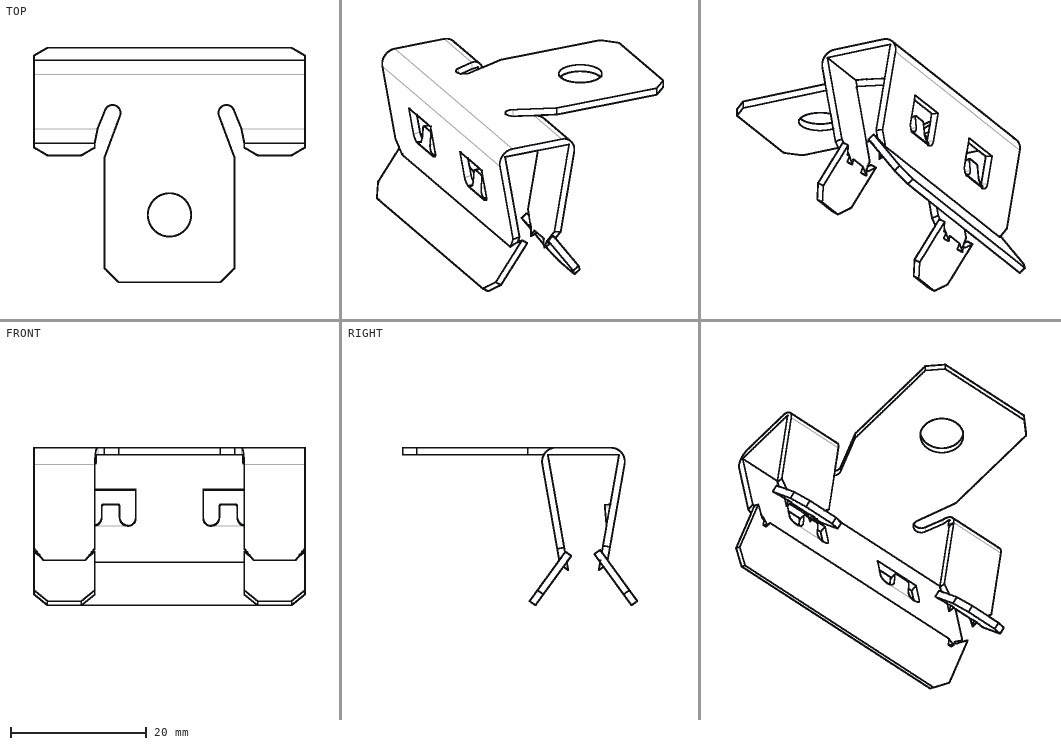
import cadquery as cq
import math


sheet = 1.1
length = 40.0
depth = 34.65
height = 23.3
half_length = length / 2

feet_half_depth = 7.95
leg_angle = math.radians(10)
foot_angle = math.radians(36)
leg_reach = 16.1
spike_inset = 2.25
notch_inset = 2.95
foot_chamfer = 2.0
back_taper_start = 12.4
front_taper_start = 12.7
taper_inset = 1.75
taper_reach = 2.15
back_foot_length = 9.35
front_foot_length = 9.05

bend_radius = 2.1
bend_center_y = 4.05

arm_width = 9.0
arm_inner_x = half_length - arm_width
arm_bend_x = 10.6
slot_x = 8.4
slot_y = -1.7
slot_radius = 1.15
slot_angle = math.radians(19.5)

tab_half_width = 9.6
tab_end_y = feet_half_depth - depth
tab_corner_y = -8.25
tab_chamfer = 2.1
hole_y = -16.7
hole_diameter = 6.35

window_x = 8.7
window_width = 7.35
window_top = 3.9
window_bottom = 9.45
tongue_width = 2.7
tongue_height = 3.1
tongue_angle = math.radians(5)
tongue_corner = 0.3
tongue_overlap = 0.2
window_radius = (window_width - tongue_width) / 4

bend_end_y = bend_center_y + bend_radius * math.cos(leg_angle)
bend_end_z = -bend_radius * (1 + math.sin(leg_angle))
leg_y = bend_end_y - sheet * math.cos(leg_angle)
leg_z = bend_end_z + sheet * math.sin(leg_angle)

foot_y = feet_half_depth - sheet * math.cos(foot_angle)
joint_angle = leg_angle + foot_angle
span_y = leg_y - foot_y
span_z = leg_z + height
leg_joint_reach = (span_y * math.cos(foot_angle) + span_z * math.sin(foot_angle)) / math.sin(joint_angle)
foot_joint_reach = (span_z * math.sin(leg_angle) - span_y * math.cos(leg_angle)) / math.sin(joint_angle)


def sheet_plane(y, z, angle):
    """Plane on a sheet's inner face: local X along the part, local Y down the sheet, normal outward.

    A positive angle leans the sheet inward as it goes down.
    """
    return cq.Plane(
        origin=(0, y, z), xDir=(1, 0, 0), normal=(0, math.cos(angle), -math.sin(angle))
    )


def make_leg(center_x, width, taper_start):
    """Back-side leg with tapered lower corners, a spike at each corner and a mitred end."""
    half = width / 2
    spike_x = half - spike_inset
    notch_x = half - notch_inset
    taper_x = half - taper_inset
    taper_end = taper_start + taper_reach
    outline = (
        cq.Workplane(sheet_plane(leg_y, leg_z, leg_angle))
        .center(center_x, 0)
        .polyline([
            (-half, 0), (half, 0), (half, taper_start), (taper_x, taper_end), (spike_x, leg_reach),
            (notch_x, leg_joint_reach), (-notch_x, leg_joint_reach),
            (-spike_x, leg_reach), (-taper_x, taper_end), (-half, taper_start),
        ])
        .close()
        .extrude(sheet)
    )
    outer_reach = leg_reach - sheet * math.tan(joint_angle)
    side_plane = cq.Plane(
        origin=(center_x - half, leg_y, leg_z),
        xDir=(0, math.cos(leg_angle), -math.sin(leg_angle)),
        normal=(1, 0, 0),
    )
    mitred = (
        cq.Workplane(side_plane)
        .polyline([(0, 0), (sheet, 0), (sheet, -outer_reach), (0, -leg_reach)])
        .close()
        .extrude(width)
    )
    return outline.intersect(mitred)


def make_foot(center_x, width, foot_length):
    """Back-side foot flaring outward, with an ear at each upper corner and chamfered lower corners."""
    half = width / 2
    ear = foot_length - foot_joint_reach
    top_y = foot_y - foot_length * math.sin(foot_angle)
    top_z = foot_length * math.cos(foot_angle) - height
    return (
        cq.Workplane(sheet_plane(top_y, top_z, -foot_angle))
        .center(center_x, 0)
        .polyline([
            (ear - half, ear), (half - ear, ear), (half, 0),
            (half, foot_length - foot_chamfer), (half - foot_chamfer, foot_length),
            (foot_chamfer - half, foot_length), (-half, foot_length - foot_chamfer), (-half, 0),
        ])
        .close()
        .extrude(sheet)
    )


def make_top():
    """Top sheet and both bends, round outside and sharp inside, along the whole part."""
    mid_angle = math.radians(45) - leg_angle / 2
    mid_y = bend_center_y + bend_radius * math.cos(mid_angle)
    mid_z = bend_radius * (math.sin(mid_angle) - 1)
    inner_y = leg_y - (leg_z + sheet) * math.tan(leg_angle)
    return (
        cq.Workplane("YZ", origin=(-half_length, 0, 0))
        .moveTo(-bend_center_y, 0)
        .lineTo(bend_center_y, 0)
        .threePointArc((mid_y, mid_z), (bend_end_y, bend_end_z))
        .lineTo(leg_y, leg_z)
        .lineTo(inner_y, -sheet)
        .lineTo(-inner_y, -sheet)
        .lineTo(-leg_y, leg_z)
        .lineTo(-bend_end_y, bend_end_z)
        .threePointArc((-mid_y, mid_z), (-bend_center_y, 0))
        .close()
        .extrude(length)
    )


def mirrored(points):
    """Closed symmetric outline from the points of its +X half."""
    return points + [(-x, y) for x, y in reversed(points)]


def make_throat():
    """Opening between the two front arms, up to the slot ends."""
    slot_edge_x = slot_x + slot_radius * math.cos(slot_angle)
    slot_edge_y = slot_y + slot_radius * math.sin(slot_angle)
    points = [
        (slot_x, slot_y), (slot_edge_x, slot_edge_y), (arm_bend_x, -bend_center_y),
        (arm_inner_x, -bend_end_y), (arm_inner_x, -feet_half_depth),
    ]
    return cq.Workplane("XY").polyline(mirrored(points)).close().extrude(-height)


def make_tab():
    """Flat mounting tab, narrowing toward the slot ends, with a round hole."""
    neck_x = slot_x - slot_radius * math.cos(slot_angle)
    neck_y = slot_y - slot_radius * math.sin(slot_angle)
    points = [
        (slot_x, slot_y), (neck_x, neck_y), (tab_half_width, tab_corner_y),
        (tab_half_width, tab_end_y + tab_chamfer), (tab_half_width - tab_chamfer, tab_end_y),
    ]
    tab = cq.Workplane("XY").polyline(mirrored(points)).close().extrude(-sheet)
    hole = cq.Workplane("XY").center(0, hole_y).circle(hole_diameter / 2).extrude(-sheet)
    return tab.cut(hole)


def make_slot_end(x):
    """Round inner end of a relief slot."""
    return cq.Workplane("XY").center(x, slot_y).circle(slot_radius).extrude(-sheet)


def make_window(x):
    """Window through the back leg, with rounded lower corners."""
    half = window_width / 2
    corner = window_radius
    return (
        cq.Workplane(sheet_plane(leg_y, leg_z, leg_angle))
        .center(x, 0)
        .moveTo(-half, window_top)
        .lineTo(half, window_top)
        .lineTo(half, window_bottom - corner)
        .radiusArc((half - corner, window_bottom), -corner)
        .lineTo(corner - half, window_bottom)
        .radiusArc((-half, window_bottom - corner), -corner)
        .close()
        .extrude(sheet)
    )


def make_tongue(x):
    """Tongue bent inward from the window's lower edge, flaring at its root."""
    root_y = leg_y - window_bottom * math.sin(leg_angle)
    root_z = leg_z - window_bottom * math.cos(leg_angle)
    half = tongue_width / 2
    flare = window_radius
    tip = -tongue_height
    return (
        cq.Workplane(sheet_plane(root_y, root_z, -tongue_angle))
        .center(x, 0)
        .moveTo(-half - flare, tongue_overlap)
        .lineTo(-half - flare, 0)
        .radiusArc((-half, -flare), flare)
        .lineTo(-half, tip + tongue_corner)
        .radiusArc((tongue_corner - half, tip), -tongue_corner)
        .lineTo(half - tongue_corner, tip)
        .radiusArc((half, tip + tongue_corner), -tongue_corner)
        .lineTo(half, -flare)
        .radiusArc((half + flare, 0), flare)
        .lineTo(half + flare, tongue_overlap)
        .close()
        .extrude(sheet)
    )


result = make_top().cut(make_throat()).union(make_tab())
back_leg = make_leg(0, length, back_taper_start)
for side in (-1, 1):
    result = result.cut(make_slot_end(side * slot_x))
    back_leg = back_leg.cut(make_window(side * window_x)).union(make_tongue(side * window_x))
result = result.union(back_leg).union(make_foot(0, length, back_foot_length))

for side in (-1, 1):
    arm_x = side * (half_length - arm_width / 2)
    arm = make_leg(arm_x, arm_width, front_taper_start).union(make_foot(arm_x, arm_width, front_foot_length))
    result = result.union(arm.mirror("XZ"))